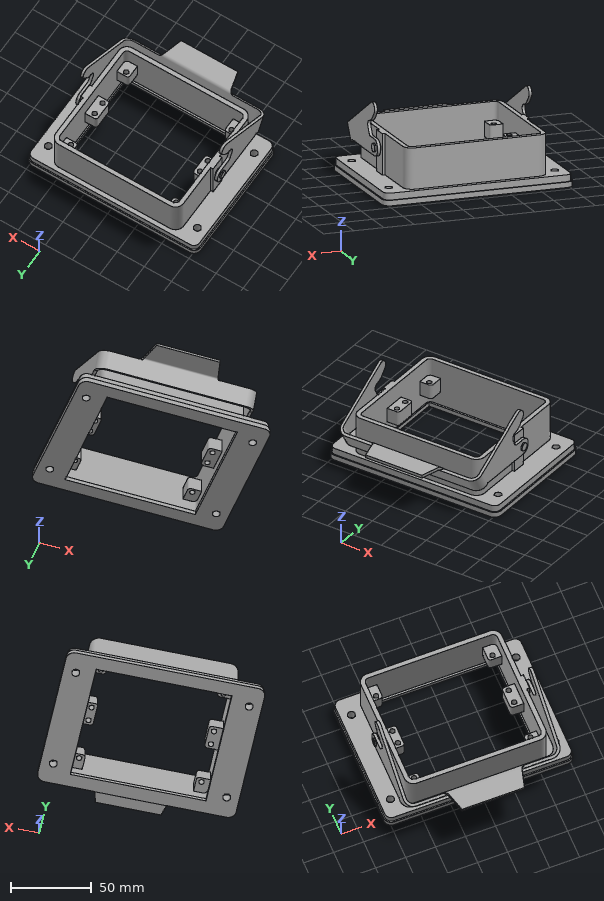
import cadquery as cq
import math

flange_length = 126.0
flange_width = 92.0
flange_radius = 5.2
lower_plate_thickness = 3.7
flange_height = 8.1
plate_step = 0.9
mount_hole_diameter = 4.8
mount_spacing_x = 109.9
mount_spacing_y = 64.8

frame_length = 94.2
frame_width = 83.9
frame_radius = 6.0
frame_top = 34.6
wall = 3.2
opening_length = 85.9
opening_width = 74.8
ledge_height = 3.0

block_bottom = 12.6
block_top = 22.5
block_inner_x = 35.3
middle_block_width = 15.4
corner_block_inner_y = 28.7
block_radius = 1.9
block_embed = 0.6
screw_hole_diameter = 3.3
screw_x = 38.8
middle_screw_y = 4.5
corner_screw_y = 31.5

pad_thickness = 1.8
pad_width = 10.1
pivot_z = 24.8
pin_diameter = 5.4
pin_end_x = 53.0

lever_tilt = 30.0
sheet = 2.0
lever_length = 104.3
lever_bend_radius = 6.8
pivot_end_radius = 5.4
bar_width = 12.0
lever_top = 53.0
tip_radius = 4.0
tip_y = -3.9
top_edge_length = 53.7
finger_angle = 50.0
finger_edge_length = 4.4
notch_center = (-8.8, 36.8)
notch_radius = 3.0
notch_start_angle = 100.0
throat_radius = 2.0

tab_bend_radius = 1.1
tab_front_y = -66.4
tab_front_half = 20.9
tab_root_half = 24.5
tab_flare = 3.0

frame_side_x = frame_length / 2
cavity_length = frame_length - 2 * wall
cavity_width = frame_width - 2 * wall
cavity_radius = frame_radius - wall


def polar(center, radius, angle):
    """Point on a circle, with the angle in degrees."""
    turn = math.radians(angle)
    return (center[0] + radius * math.cos(turn), center[1] + radius * math.sin(turn))


def rounded_block(length, width, radius, bottom, top):
    """Upright block centred on Z with rounded vertical edges."""
    block = cq.Workplane("XY").workplane(offset=bottom).rect(length, width).extrude(top - bottom)
    return block.edges("|Z").fillet(radius)


def make_housing():
    """Flange and frame with the stepped opening and the pivot pads."""
    upper_length = flange_length - 2 * plate_step
    upper_width = flange_width - 2 * plate_step
    upper_radius = flange_radius - plate_step
    pads_length = frame_length + 2 * pad_thickness
    housing = rounded_block(flange_length, flange_width, flange_radius, 0, lower_plate_thickness)
    housing = housing.union(rounded_block(upper_length, upper_width, upper_radius, 0, flange_height))
    housing = housing.union(rounded_block(frame_length, frame_width, frame_radius, 0, frame_top))
    housing = housing.union(cq.Workplane("XY").rect(pads_length, pad_width).extrude(frame_top))
    cavity = rounded_block(cavity_length, cavity_width, cavity_radius, ledge_height, frame_top)
    opening = cq.Workplane("XY").rect(opening_length, opening_width).extrude(frame_top)
    mount_holes = (
        cq.Workplane("XY")
        .rect(mount_spacing_x, mount_spacing_y, forConstruction=True)
        .vertices()
        .circle(mount_hole_diameter / 2)
        .extrude(flange_height)
    )
    return housing.cut(cavity).cut(opening).cut(mount_holes)


def screw_block(side, y_low, y_high, rounded_edges):
    """Block rooted in the frame side wall; side is -1 or 1 along X."""
    outer_x = cavity_length / 2 + block_embed
    block = (
        cq.Workplane("XY")
        .workplane(offset=block_bottom)
        .center(side * (block_inner_x + outer_x) / 2, (y_low + y_high) / 2)
        .rect(outer_x - block_inner_x, y_high - y_low)
        .extrude(block_top - block_bottom)
    )
    inner_face = "<X" if side > 0 else ">X"
    return block.faces(inner_face).edges(rounded_edges).fillet(block_radius)


def make_screw_blocks():
    """Middle and corner blocks on both sides, with through screw holes."""
    corner_outer_y = cavity_width / 2 + block_embed
    blocks = cq.Workplane("XY")
    for side in (-1, 1):
        blocks = blocks.add(screw_block(side, -middle_block_width / 2, middle_block_width / 2, "|Z"))
        blocks = blocks.add(screw_block(side, corner_block_inner_y, corner_outer_y, "|Z and <Y"))
        blocks = blocks.add(screw_block(side, -corner_outer_y, -corner_block_inner_y, "|Z and >Y"))
    screw_points = [
        (x, y)
        for x in (-screw_x, screw_x)
        for y in (-corner_screw_y, -middle_screw_y, middle_screw_y, corner_screw_y)
    ]
    holes = cq.Workplane("XY").pushPoints(screw_points).circle(screw_hole_diameter / 2).extrude(block_top)
    return blocks.combine().cut(holes)


forward_angle = 180 + lever_tilt
normal_angle = forward_angle - 90
pivot = (0, pivot_z)
tip_center = (tip_y, lever_top - tip_radius)
top_edge_start = polar(tip_center, tip_radius, normal_angle)
bar_top = polar(top_edge_start, top_edge_length, forward_angle)
bar_bottom = polar(bar_top, bar_width, normal_angle + 180)


def lever_side_outline():
    """Side outline of the lever: pivot end, hooked finger, tilted front bar."""
    lower_z = pivot_z - pivot_end_radius
    neck_z = pivot_z + pivot_end_radius
    heel_y = bar_bottom[0] + (lower_z - bar_bottom[1]) / math.tan(math.radians(lever_tilt))

    finger_normal = finger_angle - 90
    finger_start = polar(tip_center, tip_radius, finger_normal)
    finger_end = polar(finger_start, finger_edge_length, 180 + finger_angle)
    tip_middle = polar(tip_center, tip_radius, (normal_angle + finger_normal) / 2)

    notch_start = polar(notch_center, notch_radius, notch_start_angle)
    notch_middle = polar(notch_center, notch_radius, (notch_start_angle + forward_angle) / 2)
    notch_end = polar(notch_center, notch_radius, forward_angle)

    throat_angle = normal_angle + 180
    throat_run = (notch_end[1] - neck_z) / math.cos(math.radians(lever_tilt))
    throat_corner = polar(notch_end, throat_run, throat_angle)
    throat_setback = throat_radius * math.tan(math.radians(90 - lever_tilt) / 2)
    throat_end = polar(throat_corner, throat_setback, normal_angle)
    neck_start = (throat_corner[0] + throat_setback, neck_z)

    return (
        cq.Workplane("YZ")
        .moveTo(0, lower_z)
        .lineTo(heel_y, lower_z)
        .lineTo(*bar_bottom)
        .lineTo(*bar_top)
        .lineTo(*top_edge_start)
        .threePointArc(tip_middle, finger_start)
        .lineTo(*finger_end)
        .tangentArcPoint(notch_start, relative=False)
        .threePointArc(notch_middle, notch_end)
        .lineTo(*throat_end)
        .tangentArcPoint(neck_start, relative=False)
        .lineTo(0, neck_z)
        .threePointArc((pivot_end_radius, pivot_z), (0, lower_z))
        .close()
    )


def make_lever():
    """Side outline across the full length, kept only where the bent sheet runs."""
    solid = lever_side_outline().extrude(lever_length / 2, both=True)
    forward = polar((0, 0), 1, forward_angle)
    normal = polar((0, 0), 1, normal_angle)
    bar_plane = cq.Plane(
        origin=(0, bar_top[0], bar_top[1]),
        xDir=(1, 0, 0),
        normal=(0, normal[0], normal[1]),
    )
    reach = 2 * top_edge_length
    depth = 2 * lever_top

    def u_shape(offset):
        length = lever_length - 2 * offset
        block = (
            cq.Workplane(bar_plane)
            .center(0, offset + reach / 2)
            .rect(length, reach)
            .extrude(depth, both=True)
        )
        front_edges = cq.selectors.ParallelDirSelector(cq.Vector(0, *normal))
        front_face = cq.selectors.DirectionMinMaxSelector(cq.Vector(0, *forward))
        return block.faces(front_face).edges(front_edges).fillet(lever_bend_radius - offset)

    return solid.intersect(u_shape(0)).cut(u_shape(sheet))


def make_tab():
    """Bend and flat tab, trimmed to a flared trapezoid seen along Z."""
    outer_radius = tab_bend_radius + sheet
    back_angle = forward_angle - 180
    mid_angle = (back_angle + 90) / 2
    bend_center = polar(bar_top, tab_bend_radius, forward_angle)
    bar_back = polar(bar_top, sheet, back_angle)
    tab_bottom = bend_center[1] + tab_bend_radius
    tab_top = tab_bottom + sheet
    strip = (
        cq.Workplane("YZ")
        .moveTo(*bar_top)
        .threePointArc(polar(bend_center, tab_bend_radius, mid_angle), (bend_center[0], tab_bottom))
        .lineTo(tab_front_y, tab_bottom)
        .lineTo(tab_front_y, tab_top)
        .lineTo(bend_center[0], tab_top)
        .threePointArc(polar(bend_center, outer_radius, mid_angle), bar_back)
        .close()
        .extrude(lever_length / 2, both=True)
    )
    flare_end = (tab_root_half + tab_flare, bar_back[0])
    trim = (
        cq.Workplane("XY")
        .moveTo(0, tab_front_y)
        .lineTo(tab_front_half, tab_front_y)
        .lineTo(tab_root_half, bend_center[0])
        .tangentArcPoint(flare_end, relative=False)
        .lineTo(0, bar_back[0])
        .mirrorY()
        .extrude(lever_top)
    )
    return strip.intersect(trim)


def make_pin(side):
    """Pivot pin from the frame wall out through the lever arm."""
    start_x = frame_side_x - wall / 2
    return (
        cq.Workplane("YZ")
        .workplane(offset=side * start_x)
        .center(*pivot)
        .circle(pin_diameter / 2)
        .extrude(side * (pin_end_x - start_x))
    )


result = make_housing().union(make_screw_blocks()).union(make_lever()).union(make_tab())
for pin_side in (-1, 1):
    result = result.union(make_pin(pin_side))